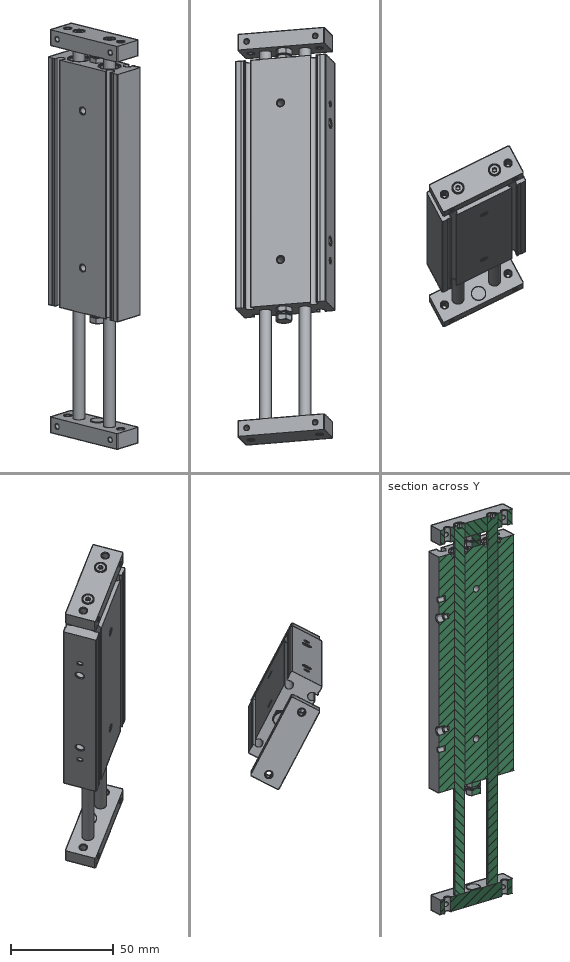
import cadquery as cq
import math

ENDS = (-1, 1)

TOTAL_HEIGHT = 205.0
PLATE_THICKNESS = 8.0
HOUSING_HEIGHT = 125.8
UPPER_GAP = 6.0

TOP = TOTAL_HEIGHT / 2
UPPER_PLATE_BASE = TOP - PLATE_THICKNESS
HOUSING_TOP = UPPER_PLATE_BASE - UPPER_GAP
HOUSING_BASE = HOUSING_TOP - HOUSING_HEIGHT
HOUSING_MIDDLE = (HOUSING_TOP + HOUSING_BASE) / 2
LOWER_PLATE_BASE = -TOP
LOWER_PLATE_TOP = LOWER_PLATE_BASE + PLATE_THICKNESS

HOUSING_WIDTH = 46.0
HOUSING_DEPTH = 17.0
HALF_WIDTH = HOUSING_WIDTH / 2
HALF_DEPTH = HOUSING_DEPTH / 2
HOUSING_CHAMFER = 0.5
CROWN_START = 20.0
CROWN_DROP = 0.1

GROOVE_X = 16.2
GROOVE_DIAMETER = 4.0
GROOVE_INSET = 2.3
MOUTH_INNER = 15.2
MOUTH_OUTER = 18.0
STEP_INNER = 18.6
STEP_DEPTH = 0.2

MOUNT_SPACING = 80.0
MOUNT_DRILL = 3.3
MOUNT_MOUTH = 4.0
SIDE_DRILL = 2.5
SIDE_MOUTH = 3.0
SIDE_DEPTH = 4.0

PORT_SPACING = 60.0
PORT_MOUTH = 5.0
PORT_BORE = 4.0
PORT_BORE_DEPTH = 3.7
PORT_PILOT = 2.5
PORT_PILOT_MOUTH = 3.3
PORT_PILOT_DEPTH = 2.5

SEAL_MOUTH_DIAMETER = 11.0
SEAL_MOUTH_DEPTH = 0.6
SEAL_DIAMETER = 9.0
SEAL_DEPTH = 2.0

PLATE_WIDTH = 44.0
PLATE_DEPTH = 15.5
PLATE_CHAMFER = 0.5
PLATE_HOLE_X = 17.5
PLATE_DRILL = 3.3
PLATE_MOUTH = 4.0
CROSS_DRILL = 2.5
CROSS_MOUTH = 2.9

ROD_X = 10.0
ROD_DIAMETER = 6.0
ROD_END_CHAMFER = 0.51
SOCKET_FLATS = 2.0
SOCKET_DEPTH = 2.0

BOLT_Y = 2.5
BOLT_DIAMETER = 4.0
HEX_FLATS = 7.0
HEX_CHAMFER_HEIGHT = 0.5
NUT_HEIGHT = 2.5
WASHER_FACE_DIAMETER = 5.7
WASHER_FACE_HEIGHT = 0.5
HEAD_HEIGHT = 2.9
LOWER_BOLT_LENGTH = 6.8
BUMPER_DIAMETER = 7.0
BUMPER_HEIGHT = 0.5


def cylinder(x, y, base, diameter, height):
    return cq.Workplane("XY", origin=(x, y, base)).circle(diameter / 2).extrude(height)


def across_corners(flats):
    return flats / math.cos(math.pi / 6)


def hexagon(x, y, base, flats, height):
    return cq.Workplane("XY", origin=(x, y, base)).polygon(6, across_corners(flats)).extrude(height)


def hole(start, direction, drill, mouth, depth):
    """Cutter for a drilled hole with a 45-degree countersink where it starts."""
    frame = cq.Plane(origin=start, normal=direction)
    countersink_depth = (mouth - drill) / 2
    countersink = cq.Workplane(frame).circle(mouth / 2).extrude(countersink_depth, taper=45)
    return cq.Workplane(frame).circle(drill / 2).extrude(depth).union(countersink)


def cross_hole(x, z, drill, mouth, length):
    """Cutter for a hole along Y, through a part of this length, countersunk on both faces."""
    front = hole((x, -length / 2, z), (0, 1, 0), drill, mouth, length)
    return front.union(front.mirror("XZ"))


def housing_bar(x_start, x_end, y_start, y_end):
    """Rectangular bar over the full height of the housing."""
    return (
        cq.Workplane("XY", origin=((x_start + x_end) / 2, (y_start + y_end) / 2, HOUSING_BASE))
        .rect(x_end - x_start, y_end - y_start)
        .extrude(HOUSING_HEIGHT)
    )


def housing_blank():
    side_y = HALF_DEPTH - CROWN_DROP
    mid_x = (CROWN_START + HALF_WIDTH) / 2
    mid_y = HALF_DEPTH - CROWN_DROP / 4
    return (
        cq.Workplane("XY", origin=(0, 0, HOUSING_BASE))
        .moveTo(-CROWN_START, HALF_DEPTH)
        .lineTo(CROWN_START, HALF_DEPTH)
        .threePointArc((mid_x, mid_y), (HALF_WIDTH, side_y))
        .lineTo(HALF_WIDTH, -side_y)
        .threePointArc((mid_x, -mid_y), (CROWN_START, -HALF_DEPTH))
        .lineTo(-CROWN_START, -HALF_DEPTH)
        .threePointArc((-mid_x, -mid_y), (-HALF_WIDTH, -side_y))
        .lineTo(-HALF_WIDTH, side_y)
        .threePointArc((-mid_x, mid_y), (-CROWN_START, HALF_DEPTH))
        .close()
        .extrude(HOUSING_HEIGHT)
        .faces("<X or >X")
        .edges("|Z")
        .chamfer(HOUSING_CHAMFER)
    )


def sensor_groove():
    """Cutter for the groove at +X, +Y; the other three are its mirror images."""
    channel_y = HALF_DEPTH - GROOVE_INSET
    channel = cylinder(GROOVE_X, channel_y, HOUSING_BASE, GROOVE_DIAMETER, HOUSING_HEIGHT)
    mouth = housing_bar(MOUTH_INNER, MOUTH_OUTER, channel_y, HALF_DEPTH)
    step = housing_bar(STEP_INNER, CROWN_START, HALF_DEPTH - STEP_DEPTH, HALF_DEPTH)
    return channel.union(mouth).union(step)


def cut_sensor_grooves(body):
    right_back = sensor_groove()
    for back in (right_back, right_back.mirror("YZ")):
        body = body.cut(back).cut(back.mirror("XZ"))
    return body


def cut_mounting_holes(body):
    for end in ENDS:
        z = HOUSING_MIDDLE + end * MOUNT_SPACING / 2
        body = body.cut(cross_hole(0, z, MOUNT_DRILL, MOUNT_MOUTH, HOUSING_DEPTH))
        body = body.cut(hole((-HALF_WIDTH, 0, z), (1, 0, 0), SIDE_DRILL, SIDE_MOUTH, SIDE_DEPTH))
    return body


def cut_ports(body):
    for end in ENDS:
        z = HOUSING_MIDDLE + end * PORT_SPACING / 2
        entry = (-HALF_WIDTH, 0, z)
        bore_floor = (-HALF_WIDTH + PORT_BORE_DEPTH, 0, z)
        body = body.cut(hole(entry, (1, 0, 0), PORT_BORE, PORT_MOUTH, PORT_BORE_DEPTH))
        body = body.cut(hole(bore_floor, (1, 0, 0), PORT_PILOT, PORT_PILOT_MOUTH, PORT_PILOT_DEPTH))
    return body


def cut_rod_bores(body):
    for end in ENDS:
        x = end * ROD_X
        seal_mouth_base = HOUSING_TOP - SEAL_MOUTH_DEPTH
        body = body.cut(cylinder(x, 0, HOUSING_BASE, ROD_DIAMETER, HOUSING_HEIGHT))
        body = body.cut(cylinder(x, 0, HOUSING_TOP - SEAL_DEPTH, SEAL_DIAMETER, SEAL_DEPTH))
        body = body.cut(cylinder(x, 0, seal_mouth_base, SEAL_MOUTH_DIAMETER, SEAL_MOUTH_DEPTH))
    return body


def make_housing():
    body = cut_sensor_grooves(housing_blank())
    body = cut_mounting_holes(body)
    body = cut_ports(body)
    return cut_rod_bores(body)


def make_plate(base):
    """End plate with two screw holes along Z, each crossed by a smaller hole along Y."""
    plate = (
        cq.Workplane("XY", origin=(0, 0, base))
        .rect(PLATE_WIDTH, PLATE_DEPTH)
        .extrude(PLATE_THICKNESS)
        .edges("|Z")
        .chamfer(PLATE_CHAMFER)
    )
    top = base + PLATE_THICKNESS
    middle = base + PLATE_THICKNESS / 2
    for end in ENDS:
        x = end * PLATE_HOLE_X
        plate = plate.cut(hole((x, 0, base), (0, 0, 1), PLATE_DRILL, PLATE_MOUTH, PLATE_THICKNESS))
        plate = plate.cut(hole((x, 0, top), (0, 0, -1), PLATE_DRILL, PLATE_MOUTH, PLATE_THICKNESS))
        plate = plate.cut(cross_hole(x, middle, CROSS_DRILL, CROSS_MOUTH, PLATE_DEPTH))
    return plate


def make_upper_plate():
    """The rods pass through the upper plate and end flush with its top."""
    plate = make_plate(UPPER_PLATE_BASE)
    for end in ENDS:
        plate = plate.cut(cylinder(end * ROD_X, 0, UPPER_PLATE_BASE, ROD_DIAMETER, PLATE_THICKNESS))
    return plate


def make_rod(x):
    """Rod standing on the lower plate, with a hexagon socket in its chamfered upper end."""
    rod = cylinder(x, 0, LOWER_PLATE_TOP, ROD_DIAMETER, TOP - LOWER_PLATE_TOP)
    rod = rod.faces(">Z").chamfer(ROD_END_CHAMFER)
    return rod.cut(hexagon(x, 0, TOP - SOCKET_DEPTH, SOCKET_FLATS, SOCKET_DEPTH))


def chamfered_hexagon(base, height):
    """Hexagon of the stopper bolt with its upper corners turned off."""
    corners = across_corners(HEX_FLATS)
    corner_chamfer = (corners - HEX_FLATS) / 2
    turned = cylinder(0, BOLT_Y, base, corners, height)
    turned = turned.faces(">Z").chamfer(HEX_CHAMFER_HEIGHT, corner_chamfer)
    return hexagon(0, BOLT_Y, base, HEX_FLATS, height).intersect(turned)


def make_stopper_bolt(length):
    """Upright bolt from Z = 0: lock nut, shank, then head with a washer face below it."""
    head_base = length - HEAD_HEIGHT
    washer_base = head_base - WASHER_FACE_HEIGHT
    shank = cylinder(0, BOLT_Y, 0, BOLT_DIAMETER, head_base)
    nut = chamfered_hexagon(0, NUT_HEIGHT)
    washer_face = cylinder(0, BOLT_Y, washer_base, WASHER_FACE_DIAMETER, WASHER_FACE_HEIGHT)
    head = chamfered_hexagon(head_base, HEAD_HEIGHT)
    return shank.union(nut).union(washer_face).union(head)


housing = make_housing()
upper_plate = make_upper_plate()
lower_plate = make_plate(LOWER_PLATE_BASE)
rods = [make_rod(end * ROD_X) for end in ENDS]
upper_bolt = make_stopper_bolt(UPPER_GAP).translate((0, 0, HOUSING_TOP))
lower_bolt = make_stopper_bolt(LOWER_BOLT_LENGTH).mirror("XY").translate((0, 0, HOUSING_BASE))
bumper = cylinder(0, BOLT_Y, LOWER_PLATE_TOP, BUMPER_DIAMETER, BUMPER_HEIGHT)

result = cq.Compound.makeCompound(
    [
        housing.val(),
        upper_plate.val(),
        lower_plate.val(),
        *[rod.val() for rod in rods],
        upper_bolt.val(),
        lower_bolt.val(),
        bumper.val(),
    ]
)